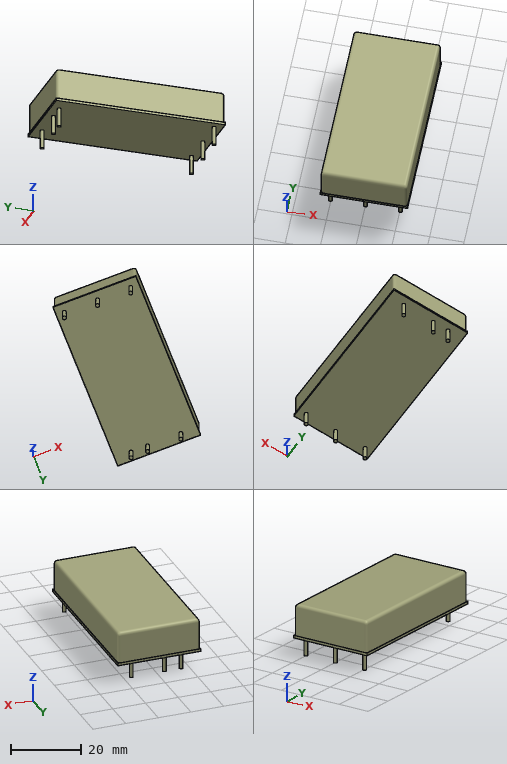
import cadquery as cq

plate_width = 25.4
plate_length = 50.8
plate_thickness = 0.8

case_inset = 0.15
case_height = 9.45
case_upright_radius = 0.8
case_top_radius = 1.0

pin_diameter = 1.1
pin_length = 5.55
pin_pitch = 2.55
pin_row_offset = 22.85
front_pin_steps = (-4, 0, 4)
back_pin_steps = (-3, -1, 3)


def make_plate():
    """Flat plate with its underside at Z = 0."""
    return cq.Workplane("XY").box(
        plate_width, plate_length, plate_thickness, centered=(True, True, False)
    )


def make_case():
    """Box with rounded upright and top edges."""
    case_width = plate_width - 2 * case_inset
    case_length = plate_length - 2 * case_inset
    return (
        cq.Workplane("XY", origin=(0, 0, plate_thickness))
        .box(case_width, case_length, case_height, centered=(True, True, False))
        .edges("|Z")
        .fillet(case_upright_radius)
        .faces(">Z")
        .edges()
        .fillet(case_top_radius)
    )


def make_pin_row(steps, row_y):
    """Row of pins across X, placed at whole steps of the pitch."""
    positions = [(step * pin_pitch, row_y) for step in steps]
    return (
        cq.Workplane("XY")
        .pushPoints(positions)
        .circle(pin_diameter / 2)
        .extrude(-pin_length)
    )


front_pins = make_pin_row(front_pin_steps, -pin_row_offset)
back_pins = make_pin_row(back_pin_steps, pin_row_offset)
result = make_plate().union(make_case()).union(front_pins).union(back_pins)